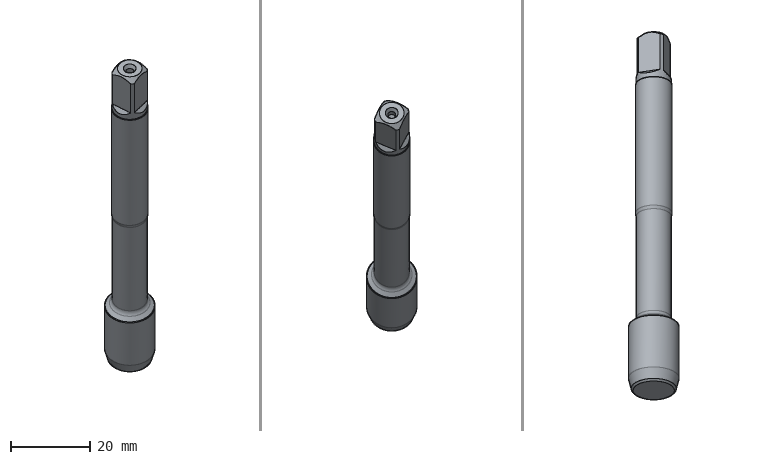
import cadquery as cq

total_length = 100.0

head_diameter = 12.8
head_top = 18.2
lead_length = 3.4
lead_end_diameter = 11.4
end_chamfer = 0.5
head_rim_chamfer = 0.2

root_diameter = head_diameter - 2 * head_rim_chamfer
neck_diameter = 8.9
neck_bottom = 20.4
flare_fillet_bottom = 19.1
flare_fillet_diameter = 10.2
grip_diameter = 9.3
grip_bottom = 50.1
grip_taper_length = 0.9
grip_top = 86.6
grip_chamfer = 0.2
collar_diameter = 9.0

square_width = 7.0
flat_bottom = 88.8
tip_diameter = 6.2
tip_chamfer_height = 1.2

hole_diameter = 2.0
hole_mouth_diameter = 3.2
countersink_depth = 1.0
hole_depth = 2.5
hole_point_depth = 0.6


def make_head():
    """Solid threading head, narrowing towards its free end."""
    profile = (
        cq.Workplane("XZ")
        .lineTo(lead_end_diameter / 2 - end_chamfer, 0)
        .lineTo(lead_end_diameter / 2, end_chamfer)
        .lineTo(head_diameter / 2, lead_length)
        .lineTo(head_diameter / 2, head_top - head_rim_chamfer)
        .lineTo(root_diameter / 2, head_top)
        .lineTo(0, head_top)
        .close()
    )
    return profile.revolve(360, (0, 0, 0), (0, 1, 0))


def make_shank_blank():
    """Turned shank, with a concave blend between its neck and flared root."""
    neck_radius = neck_diameter / 2
    flare_top = (neck_radius, neck_bottom)
    flare_end = (flare_fillet_diameter / 2, flare_fillet_bottom)
    profile = (
        cq.Workplane("XZ")
        .moveTo(0, head_top)
        .lineTo(root_diameter / 2, head_top)
        .lineTo(*flare_end)
        .tangentArcPoint(flare_top, relative=False)
        .lineTo(neck_radius, grip_bottom - grip_taper_length)
        .lineTo(grip_diameter / 2, grip_bottom)
        .lineTo(grip_diameter / 2, grip_top - grip_chamfer)
        .lineTo(collar_diameter / 2, grip_top)
        .lineTo(collar_diameter / 2, total_length - tip_chamfer_height)
        .lineTo(tip_diameter / 2, total_length)
        .lineTo(0, total_length)
        .close()
    )
    return profile.revolve(360, (0, 0, 0), (0, 1, 0))


def make_flat_cutter():
    """Cutter for the +X flat, with a 45 degree run-out at its lower end."""
    flat_distance = square_width / 2
    outer_distance = collar_diameter
    runout = outer_distance - flat_distance
    return (
        cq.Workplane("XZ")
        .moveTo(flat_distance, flat_bottom)
        .lineTo(outer_distance, flat_bottom - runout)
        .lineTo(outer_distance, total_length)
        .lineTo(flat_distance, total_length)
        .close()
        .extrude(collar_diameter / 2, both=True)
    )


def make_centre_hole():
    """Countersunk centre hole with a conical bottom."""
    profile = (
        cq.Workplane("XZ")
        .moveTo(0, total_length)
        .lineTo(hole_mouth_diameter / 2, total_length)
        .lineTo(hole_diameter / 2, total_length - countersink_depth)
        .lineTo(hole_diameter / 2, total_length - hole_depth)
        .lineTo(0, total_length - hole_depth - hole_point_depth)
        .close()
    )
    return profile.revolve(360, (0, 0, 0), (0, 1, 0))


def make_shank():
    """Shank with four drive flats and a centre hole."""
    shank = make_shank_blank()
    flat_cutter = make_flat_cutter()
    for angle in (0, 90, 180, 270):
        shank = shank.cut(flat_cutter.rotate((0, 0, 0), (0, 0, 1), angle))
    return shank.cut(make_centre_hole())


head = make_head()
shank = make_shank()

result = cq.Compound.makeCompound([head.val(), shank.val()])